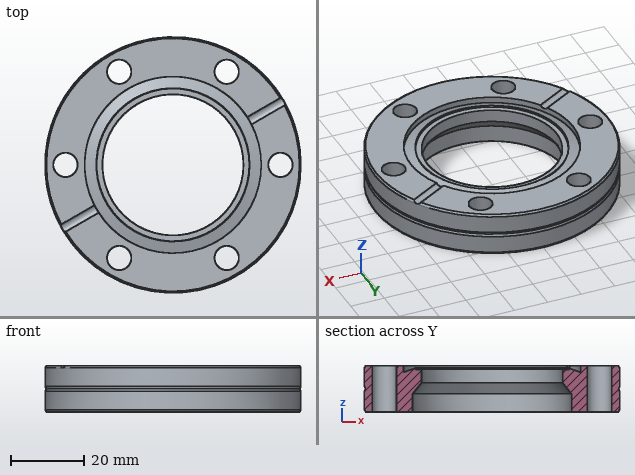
import cadquery as cq

outer_radius = 34.95
thickness = 12.7
rim_chamfer_width = 0.4
rim_chamfer_height = 0.6

rim_groove_depth = 0.3
rim_groove_half_height = 0.7

bore_radius = 19.2
lower_bore_radius = 21.7
cone_top_depth = 4.7
cone_bottom_depth = 7.75

recess_radius = 24.1
recess_depth = 1.75
knife_radius = 21.0
knife_depth = 0.6
knife_inner_radius = 20.8
seat_depth = 1.05

hole_count = 6
hole_radius = 3.3
bolt_circle_radius = 29.35

leak_groove_angles = (30, 210)
leak_groove_radius = 1.4
leak_groove_depth = 0.6


def flange_body():
    """Revolve the full ring section, bore and sealing recess included."""
    middle = thickness / 2
    chamfer_radius = outer_radius - rim_chamfer_width
    section = [
        (lower_bore_radius, 0),
        (chamfer_radius, 0),
        (outer_radius, rim_chamfer_height),
        (outer_radius, middle - rim_groove_half_height),
        (outer_radius - rim_groove_depth, middle),
        (outer_radius, middle + rim_groove_half_height),
        (outer_radius, thickness - rim_chamfer_height),
        (chamfer_radius, thickness),
        (recess_radius, thickness),
        (recess_radius, thickness - recess_depth),
        (knife_radius, thickness - knife_depth),
        (knife_inner_radius, thickness - seat_depth),
        (bore_radius, thickness - seat_depth),
        (bore_radius, thickness - cone_top_depth),
        (lower_bore_radius, thickness - cone_bottom_depth),
    ]
    return cq.Workplane("XZ").polyline(section).close().revolve(360, (0, 0), (0, 1))


def bolt_holes():
    return (
        cq.Workplane("XY")
        .polarArray(bolt_circle_radius, 0, 360, hole_count)
        .circle(hole_radius)
        .extrude(thickness)
    )


def leak_groove(angle):
    """Horizontal cylinder running from the recess wall out through the rim."""
    axis_height = thickness - leak_groove_depth + leak_groove_radius
    start_radius = (knife_radius + recess_radius) / 2
    return (
        cq.Workplane("YZ", origin=(start_radius, 0, axis_height))
        .circle(leak_groove_radius)
        .extrude(outer_radius + leak_groove_radius - start_radius)
        .rotate((0, 0, 0), (0, 0, 1), angle)
    )


result = flange_body().cut(bolt_holes())
for groove_angle in leak_groove_angles:
    result = result.cut(leak_groove(groove_angle))